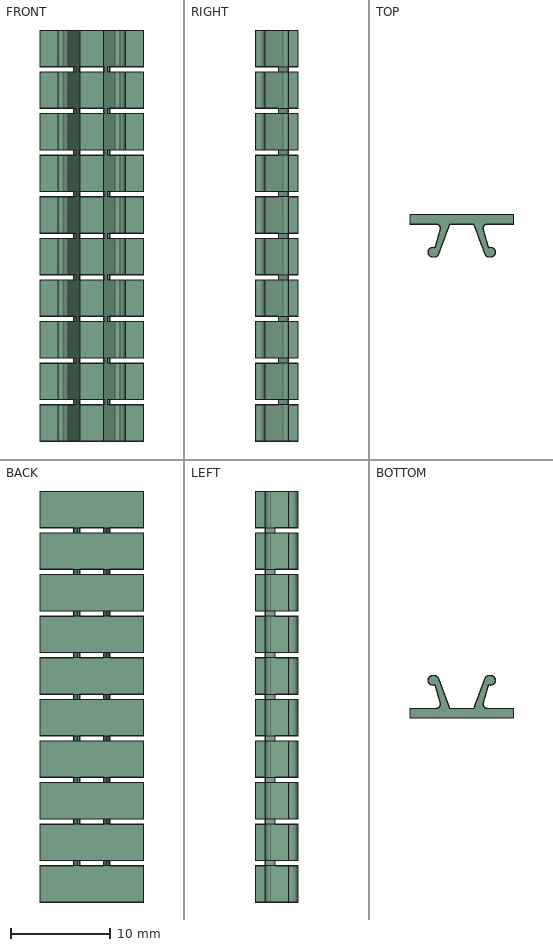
import cadquery as cq
import math

length = 41.5
width = 10.5
depth = 4.3

segment_count = 10
segment_length = 3.7
gap = (length - segment_count * segment_length) / (segment_count - 1)
pitch = segment_length + gap

plate_thickness = 1.0
inner_root_x = 1.2
inner_angle = math.radians(20.5)
outer_root_x = 2.05
outer_angle = math.radians(16)
root_fillet = 0.4
bead_radius = 0.5
bead_flat = 0.12

web_width = 0.25
web_depth = 1.0

plate_front_y = -plate_thickness
bead_y = bead_radius - depth
tangent_y = bead_y - bead_radius * math.sin(inner_angle)
tangent_x = inner_root_x + (plate_front_y - tangent_y) * math.tan(inner_angle)
inner_arc_x = tangent_x + bead_radius * math.cos(inner_angle)
outer_arc_x = inner_arc_x + bead_flat


def make_plate():
    return (
        cq.Workplane("XY")
        .rect(width, plate_thickness)
        .extrude(segment_length)
        .translate((0, -plate_thickness / 2, 0))
    )


def make_leg():
    """Leg on the +X side, a tapered arm that runs from the plate into its bead."""
    outer_end_x = outer_root_x + (plate_front_y - bead_y) * math.tan(outer_angle)
    arm = (
        cq.Workplane("XY")
        .moveTo(inner_root_x, 0)
        .lineTo(inner_root_x, plate_front_y)
        .lineTo(tangent_x, tangent_y)
        .radiusArc((inner_arc_x, -depth), -bead_radius)
        .lineTo(outer_arc_x, -depth)
        .lineTo(outer_arc_x, bead_y)
        .lineTo(outer_end_x, bead_y)
        .lineTo(outer_root_x, plate_front_y)
        .lineTo(outer_root_x, 0)
        .close()
        .extrude(segment_length)
    )
    bead = cq.Workplane("XY").center(outer_arc_x, bead_y).circle(bead_radius).extrude(segment_length)
    return arm.union(bead)


def outer_root_selector(side):
    """Selects the edge where the outer leg face meets the plate; side is -1 or 1."""
    reach = root_fillet / 4
    return cq.selectors.BoxSelector(
        (side * outer_root_x - reach, plate_front_y - reach, 0),
        (side * outer_root_x + reach, plate_front_y + reach, segment_length),
    )


def make_segment():
    leg = make_leg()
    body = make_plate().union(leg).union(leg.mirror("YZ"))
    for side in (-1, 1):
        body = body.edges(outer_root_selector(side)).fillet(root_fillet)
    return body


def make_web():
    """Web on the +X side, running the full length inside the leg."""
    shift = web_depth * math.tan(inner_angle)
    web_front_y = plate_front_y - web_depth
    return (
        cq.Workplane("XY")
        .moveTo(inner_root_x, plate_front_y)
        .lineTo(inner_root_x + web_width, plate_front_y)
        .lineTo(inner_root_x + shift + web_width, web_front_y)
        .lineTo(inner_root_x + shift, web_front_y)
        .close()
        .extrude(length)
    )


segment = make_segment()
web = make_web()
result = web.union(web.mirror("YZ"))
for index in range(segment_count):
    result = result.union(segment.translate((0, 0, index * pitch)))